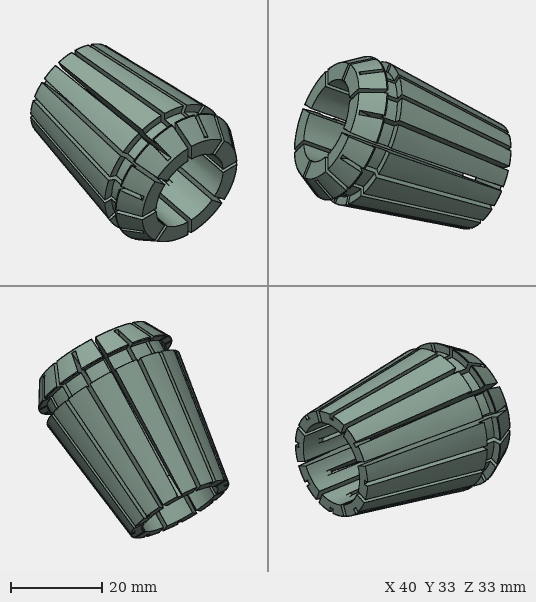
import cadquery as cq
import math

length = 40.0
max_diameter = 33.0
bore_diameter = 19.0
body_half_angle = 8.0
nose_half_angle = 30.0

groove_start = 30.8
groove_width = 3.6
groove_diameter = 29.2
lip_width = 0.3

slots_per_set = 8
slot_width = 1.0
slot_pitch = 360.0 / slots_per_set
saw_radius = 40.0
saw_floor_radius = 8.7
front_slot_end = 39.45
rear_relief_radius = 11.1

max_radius = max_diameter / 2
bore_radius = bore_diameter / 2
groove_radius = groove_diameter / 2
groove_end = groove_start + groove_width
nose_start = groove_end + lip_width
small_end_radius = max_radius - groove_start * math.tan(math.radians(body_half_angle))
nose_end_radius = max_radius - (length - nose_start) * math.tan(math.radians(nose_half_angle))


def make_body():
    """Half section in the XY plane, revolved about the X axis."""
    section = [
        (0, bore_radius),
        (0, small_end_radius),
        (groove_start, max_radius),
        (groove_start, groove_radius),
        (groove_end, groove_radius),
        (groove_end, max_radius),
        (nose_start, max_radius),
        (length, nose_end_radius),
        (length, bore_radius),
    ]
    return cq.Workplane("XY").polyline(section).close().revolve(360, (0, 0, 0), (1, 0, 0))


def saw_reach(radius):
    """Axial distance from the saw centre to its rim, at the given distance from the collet axis."""
    drop = saw_floor_radius + saw_radius - radius
    return math.sqrt(saw_radius**2 - drop**2)


def make_slot(open_end, saw_center, run_out):
    """Slot cutter from open_end to saw_center, ending in the saw arc; run_out is +1 or -1 along X."""
    arc_end = saw_center + run_out * saw_reach(cutter_top)
    arc_middle = saw_center + run_out * saw_reach(cutter_middle)
    return (
        cq.Workplane("XZ")
        .moveTo(open_end, saw_floor_radius)
        .lineTo(saw_center, saw_floor_radius)
        .threePointArc((arc_middle, cutter_middle), (arc_end, cutter_top))
        .lineTo(open_end, cutter_top)
        .close()
        .extrude(slot_width / 2, both=True)
    )


def cut_slots(body, slot, first_angle):
    """Cut one set of equally spaced slots around the X axis."""
    for index in range(slots_per_set):
        body = body.cut(slot.rotate((0, 0, 0), (1, 0, 0), first_angle + index * slot_pitch))
    return body


cutter_top = max_radius + slot_width
cutter_middle = (saw_floor_radius + cutter_top) / 2
front_run_out_radius = max_radius - (front_slot_end - nose_start) * math.tan(math.radians(nose_half_angle))
front_slot = make_slot(0, front_slot_end - saw_reach(front_run_out_radius), 1)
rear_slot = make_slot(length, saw_reach(rear_relief_radius), -1)

result = make_body()
result = cut_slots(result, rear_slot, 0)
result = cut_slots(result, front_slot, slot_pitch / 2)